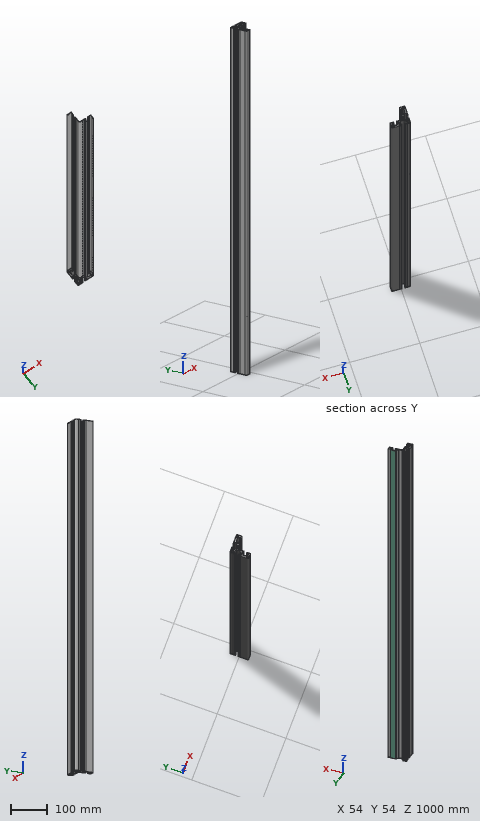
import cadquery as cq

LENGTH = 1000.0
ARM_LENGTH = 54.0
ARM_THICKNESS = 16.0

OUTER_RADIUS = 3.0
INNER_TIP_RADIUS = 0.8
INNER_CORNER_RADIUS = 4.0

SLOT_OPENING = 8.0
LIP_SKIN = 1.0

OUTER_SLOT_CENTER = 20.2
OUTER_LIP_THICKNESS = 3.8
OUTER_LIP_REACH = 7.0
OUTER_CAVITY_WIDTH = 22.0
OUTER_CAVITY_SIDE = 2.5
OUTER_FLOOR_WIDTH = 11.0
OUTER_SLOT_DEPTH = 12.0
FLOOR_GROOVE_WIDTH = 9.5
FLOOR_GROOVE_DEPTH = 1.0

INNER_SLOT_CENTER = 40.0
INNER_LIP_THICKNESS = 3.9
INNER_LIP_REACH = 6.5
INNER_CAVITY_WIDTH = 17.6
INNER_CAVITY_SIDE = 1.5
INNER_FLOOR_WIDTH = 7.5
INNER_SLOT_DEPTH = 10.6

CHANNEL_DIAMETER = 5.0
CHANNEL_INSET = 5.0


def prism(points):
    return cq.Workplane("XY").polyline(points).close().extrude(LENGTH)


def across_diagonal(points):
    """Carry points of the X arm over to the Y arm by mirroring them in the line y = -x."""
    return [(-y, -x) for x, y in points]


def round_long_edges(body, corners, radius):
    """Fillet the edges parallel to Z that stand on the given corners."""
    for x, y in corners:
        edge = cq.selectors.NearestToPointSelector((x, y, LENGTH / 2))
        body = body.edges("|Z").edges(edge).fillet(radius)
    return body


def angle_body():
    outer_corner = (0, 0)
    outer_tip = (ARM_LENGTH, 0)
    inner_tip = (ARM_LENGTH, -ARM_THICKNESS)
    inner_corner = (ARM_THICKNESS, -ARM_THICKNESS)
    mirrored_inner_tip, mirrored_outer_tip = across_diagonal([inner_tip, outer_tip])
    body = prism(
        [outer_corner, outer_tip, inner_tip, inner_corner, mirrored_inner_tip, mirrored_outer_tip]
    )
    body = round_long_edges(body, [outer_corner, outer_tip, mirrored_outer_tip], OUTER_RADIUS)
    body = round_long_edges(body, [inner_tip, mirrored_inner_tip], INNER_TIP_RADIUS)
    return round_long_edges(body, [inner_corner], INNER_CORNER_RADIUS)


def half_slot(lip_thickness, lip_reach, cavity_width, cavity_side, floor_width, depth):
    """One side of a slot as (distance from the slot's middle, depth below its face)."""
    return [
        (SLOT_OPENING / 2, 0),
        (SLOT_OPENING / 2, lip_thickness),
        (lip_reach, lip_thickness),
        (lip_reach, LIP_SKIN),
        (cavity_width / 2, LIP_SKIN),
        (cavity_width / 2, lip_thickness + cavity_side),
        (floor_width / 2, depth),
    ]


def both_sides(half):
    return half + [(-offset, depth) for offset, depth in reversed(half)]


def outer_slot_points():
    half = half_slot(
        OUTER_LIP_THICKNESS,
        OUTER_LIP_REACH,
        OUTER_CAVITY_WIDTH,
        OUTER_CAVITY_SIDE,
        OUTER_FLOOR_WIDTH,
        OUTER_SLOT_DEPTH,
    )
    floor_groove = [
        (FLOOR_GROOVE_WIDTH / 2, OUTER_SLOT_DEPTH),
        (FLOOR_GROOVE_WIDTH / 2, OUTER_SLOT_DEPTH + FLOOR_GROOVE_DEPTH),
    ]
    profile = both_sides(half + floor_groove)
    return [(OUTER_SLOT_CENTER + offset, -depth) for offset, depth in profile]


def inner_slot_points():
    half = half_slot(
        INNER_LIP_THICKNESS,
        INNER_LIP_REACH,
        INNER_CAVITY_WIDTH,
        INNER_CAVITY_SIDE,
        INNER_FLOOR_WIDTH,
        INNER_SLOT_DEPTH,
    )
    profile = both_sides(half)
    return [(INNER_SLOT_CENTER + offset, depth - ARM_THICKNESS) for offset, depth in profile]


def screw_channels():
    corner = (CHANNEL_INSET, -CHANNEL_INSET)
    arm_tip = (ARM_LENGTH - CHANNEL_INSET, -CHANNEL_INSET)
    centers = [corner, arm_tip] + across_diagonal([arm_tip])
    return cq.Workplane("XY").pushPoints(centers).circle(CHANNEL_DIAMETER / 2).extrude(LENGTH)


result = angle_body()
for slot_points in (outer_slot_points(), inner_slot_points()):
    result = result.cut(prism(slot_points))
    result = result.cut(prism(across_diagonal(slot_points)))
result = result.cut(screw_channels())